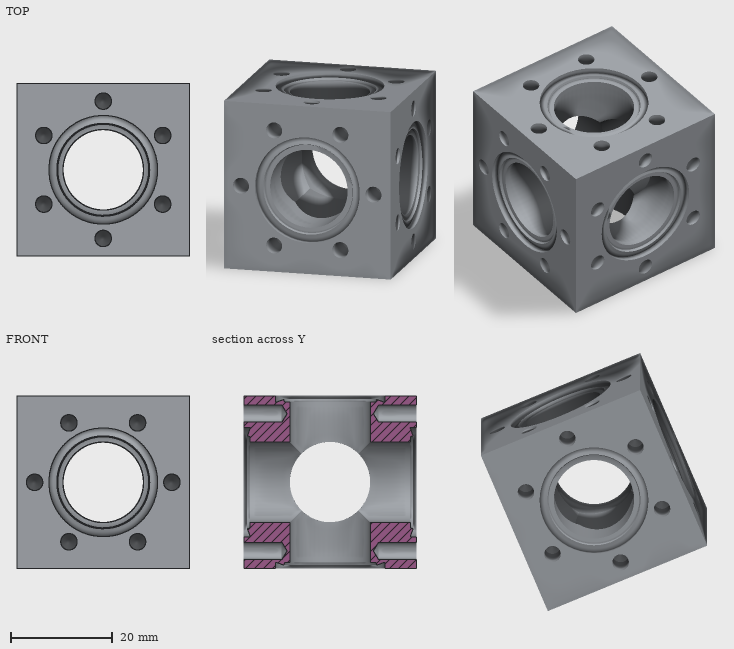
import cadquery as cq
import math

cube_side = 34.0
half_side = cube_side / 2
bore_diameter = 15.8

recess_diameter = 21.4
knife_diameter = 18.3
step_diameter = 17.9
knife_depth = 0.66
knife_slope = 20.0
step_depth = 1.18
slope_width = (recess_diameter - knife_diameter) / 2
recess_depth = knife_depth + slope_width * math.tan(math.radians(knife_slope))

bolt_count = 6
bolt_pitch = 360.0 / bolt_count
bolt_circle_radius = 13.5
bolt_diameter = 3.24
bolt_depth = 7.5
drill_point_angle = 118.0
bolt_point_height = bolt_diameter / 2 / math.tan(math.radians(drill_point_angle / 2))

faces = (
    ((0, 0, 1), (1, 0, 0), 30.0),
    ((0, 0, -1), (1, 0, 0), 30.0),
    ((0, -1, 0), (1, 0, 0), 0.0),
    ((0, 1, 0), (1, 0, 0), 0.0),
    ((-1, 0, 0), (0, -1, 0), 30.0),
    ((1, 0, 0), (0, -1, 0), 30.0),
)


def face_plane(normal, first_axis):
    """Plane at the centre of a cube face, its normal pointing outward."""
    origin = tuple(half_side * component for component in normal)
    return cq.Plane(origin=origin, xDir=first_axis, normal=normal)


def bolt_position(angle):
    """Point on the bolt circle at the given angle in degrees."""
    turn = math.radians(angle)
    return (bolt_circle_radius * math.cos(turn), bolt_circle_radius * math.sin(turn))


def port_cutter(plane):
    """Material removed by one port: a stepped half-section revolved about the face normal."""
    return (
        cq.Workplane(plane.rotated((90, 0, 0)))
        .moveTo(0, 0)
        .lineTo(recess_diameter / 2, 0)
        .lineTo(recess_diameter / 2, -recess_depth)
        .lineTo(knife_diameter / 2, -knife_depth)
        .lineTo(step_diameter / 2, -step_depth)
        .lineTo(0, -step_depth)
        .close()
        .revolve(360, (0, 0), (0, 1))
    )


def bolt_hole_cutter(plane, first_angle):
    """Six drilled blind holes with conical bottoms, evenly spaced on the bolt circle."""
    positions = [bolt_position(first_angle + i * bolt_pitch) for i in range(bolt_count)]
    holes = cq.Workplane(plane).pushPoints(positions).circle(bolt_diameter / 2).extrude(-bolt_depth)
    into_part = plane.zDir * -1
    for position in positions:
        point_base = plane.toWorldCoords((*position, -bolt_depth))
        point = cq.Solid.makeCone(bolt_diameter / 2, 0, bolt_point_height, point_base, into_part)
        holes = holes.union(cq.Workplane(obj=point))
    return holes


result = cq.Workplane("XY").box(cube_side, cube_side, cube_side)

for bore_plane in ("XY", "XZ", "YZ"):
    bore = cq.Workplane(bore_plane).circle(bore_diameter / 2).extrude(half_side, both=True)
    result = result.cut(bore)

for normal, first_axis, first_angle in faces:
    plane = face_plane(normal, first_axis)
    result = result.cut(port_cutter(plane))
    result = result.cut(bolt_hole_cutter(plane, first_angle))